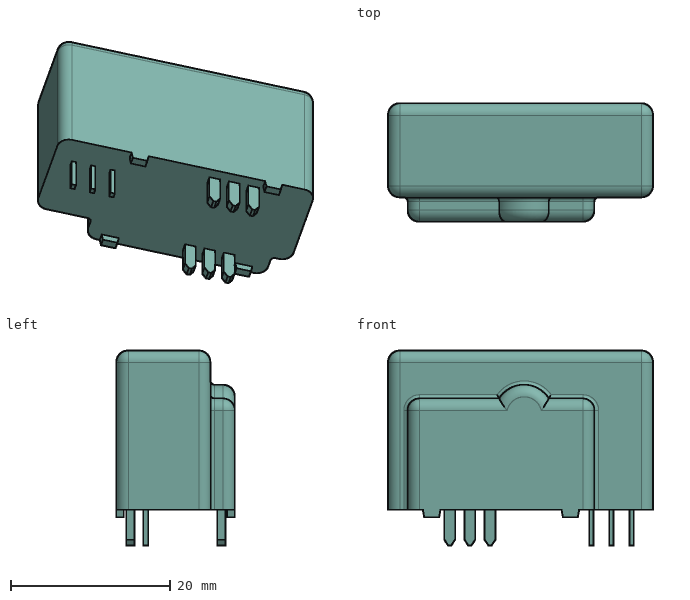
import cadquery as cq

LENGTH = 33.3
DEPTH = 11.85
HEIGHT = 20.0
EDGE_RADIUS = 1.5

PANEL_LEFT = 2.45
PANEL_WIDTH = 23.48
PANEL_HEIGHT = 14.0
PANEL_DEPTH = 3.05
BUMP_X = 17.08
BUMP_Z = 12.02
BUMP_RADIUS = 3.7
ROOT_RADIUS = 0.5

FOOT_CENTERS_X = (5.5, 22.9)
FOOT_TOP_WIDTH = 2.23
FOOT_BOTTOM_WIDTH = 1.9
FOOT_DEPTH = 0.95
FOOT_HEIGHT = 0.95

PIN_COUNT = 3
PIN_PITCH = 2.53
PIN_LENGTH = 4.5

BLADE_FIRST_X = 7.75
BLADE_WIDTH = 1.4
BLADE_THICKNESS = 1.05
BLADE_TIP_WIDTH = 0.4
BLADE_TIP_HEIGHT = 0.75
BLADE_FRONT_INSET = 1.7
BLADE_REAR_INSET = 1.8

SIGNAL_FIRST_X = 25.55
SIGNAL_WIDTH = 0.55
SIGNAL_THICKNESS = 0.65
SIGNAL_INSET = 3.73

FRONT_Y = -PANEL_DEPTH
SELECTION_MARGIN = 0.15


def block(x, y, z, length, depth, height):
    """Box with its left, front, bottom corner at (x, y, z)."""
    return cq.Workplane("XY").box(length, depth, height, centered=False).translate((x, y, z))


def make_shell():
    """Main box, rounded along its upright and top edges."""
    shell = block(0, 0, 0, LENGTH, DEPTH, HEIGHT)
    return shell.edges("|Z or >Z").fillet(EDGE_RADIUS)


def make_panel():
    """Panel with rounded upper corners, joined by a cylindrical bump along its top edge."""
    panel = block(PANEL_LEFT, FRONT_Y, 0, PANEL_WIDTH, PANEL_DEPTH, PANEL_HEIGHT)
    panel = panel.edges("|Y and >Z").fillet(EDGE_RADIUS)
    bump = cq.Workplane("XZ").center(BUMP_X, BUMP_Z).circle(BUMP_RADIUS).extrude(PANEL_DEPTH)
    return panel.union(bump)


def panel_outline_at(y):
    """Selects the panel's outline edges in the plane at y, without the bottom edge."""
    lower_corner = (PANEL_LEFT - SELECTION_MARGIN, y - SELECTION_MARGIN, SELECTION_MARGIN)
    upper_corner = (PANEL_LEFT + PANEL_WIDTH + SELECTION_MARGIN, y + SELECTION_MARGIN, HEIGHT)
    return cq.selectors.BoxSelector(lower_corner, upper_corner)


def make_foot(center_x, front_y):
    """Foot that narrows downward, with its front face at front_y."""
    half_top = FOOT_TOP_WIDTH / 2
    half_bottom = FOOT_BOTTOM_WIDTH / 2
    outline = [
        (center_x - half_top, 0),
        (center_x + half_top, 0),
        (center_x + half_bottom, -FOOT_HEIGHT),
        (center_x - half_bottom, -FOOT_HEIGHT),
    ]
    rear_y = front_y + FOOT_DEPTH
    return cq.Workplane("XZ", origin=(0, rear_y, 0)).polyline(outline).close().extrude(FOOT_DEPTH)


def make_housing():
    """Shell and panel blended together, standing on four feet."""
    housing = make_shell().union(make_panel())
    housing = housing.edges(panel_outline_at(0)).fillet(ROOT_RADIUS)
    housing = housing.edges(panel_outline_at(FRONT_Y)).fillet(EDGE_RADIUS)
    for center_x in FOOT_CENTERS_X:
        for front_y in (FRONT_Y, DEPTH - FOOT_DEPTH):
            housing = housing.union(make_foot(center_x, front_y))
    return housing


def make_blade_pin(center_x, center_y):
    """Wide pin with a tapered tip, hanging from the housing base."""
    half_width = BLADE_WIDTH / 2
    half_tip = BLADE_TIP_WIDTH / 2
    shoulder_z = BLADE_TIP_HEIGHT - PIN_LENGTH
    outline = [
        (-half_width, 0),
        (half_width, 0),
        (half_width, shoulder_z),
        (half_tip, -PIN_LENGTH),
        (-half_tip, -PIN_LENGTH),
        (-half_width, shoulder_z),
    ]
    pin = cq.Workplane("XZ").polyline(outline).close().extrude(BLADE_THICKNESS / 2, both=True)
    return pin.translate((center_x, center_y, 0))


def make_signal_pin(center_x, center_y):
    """Narrow straight pin, hanging from the housing base."""
    left_x = center_x - SIGNAL_WIDTH / 2
    front_y = center_y - SIGNAL_THICKNESS / 2
    return block(left_x, front_y, -PIN_LENGTH, SIGNAL_WIDTH, SIGNAL_THICKNESS, PIN_LENGTH)


housing = make_housing()

blade_pins = []
signal_pins = []
for index in range(PIN_COUNT):
    blade_x = BLADE_FIRST_X + index * PIN_PITCH
    for blade_y in (FRONT_Y + BLADE_FRONT_INSET, DEPTH - BLADE_REAR_INSET):
        blade_pins.append(make_blade_pin(blade_x, blade_y).val())
    signal_x = SIGNAL_FIRST_X + index * PIN_PITCH
    signal_pins.append(make_signal_pin(signal_x, DEPTH - SIGNAL_INSET).val())

result = cq.Compound.makeCompound([housing.val(), *blade_pins, *signal_pins])